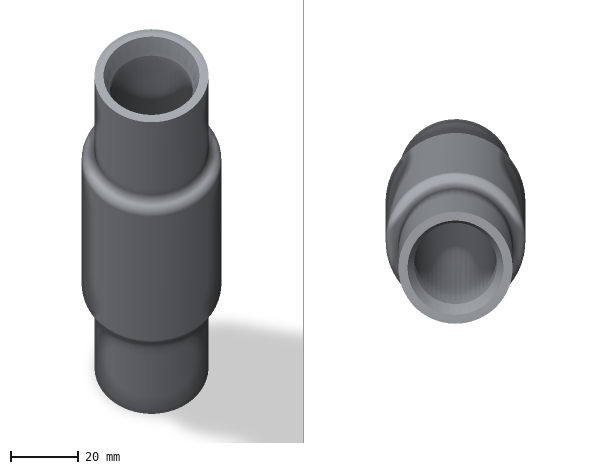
import cadquery as cq
import math

length = 150.0
body_diameter = 41.5
end_diameter = 33.9
bore_diameter = 24.6

end_length = 37.2
shoulder_length = 5.8

mouth_diameter = 28.5
mouth_depth = 7.0

half_length = length / 2
body_radius = body_diameter / 2
end_radius = end_diameter / 2
bore_radius = bore_diameter / 2
mouth_radius = mouth_diameter / 2
taper_z = half_length - mouth_depth
neck_z = half_length - end_length
body_z = neck_z - shoulder_length

shoulder_step = body_radius - end_radius
middle_radius = (body_radius + end_radius) / 2
middle_z = (neck_z + body_z) / 2
arc_radius = (shoulder_length**2 + shoulder_step**2) / (4 * shoulder_step)
half_sweep = math.asin(shoulder_length / (2 * arc_radius)) / 2
arc_mid_offset = arc_radius * (1 - math.cos(half_sweep))
arc_mid_drop = arc_radius * math.sin(half_sweep)
concave_mid_radius = end_radius + arc_mid_offset
concave_mid_z = neck_z - arc_mid_drop
convex_mid_radius = body_radius - arc_mid_offset
convex_mid_z = body_z + arc_mid_drop


def revolve_about_z(outline):
    """Turn a closed (radius, z) outline a full circle around the Z axis."""
    return outline.close().revolve(360, (0, 0, 0), (0, 1, 0))


def turned_body():
    """Solid wide body with a narrower tube end above and below."""
    outline = (
        cq.Workplane("XZ")
        .moveTo(0, half_length)
        .lineTo(end_radius, half_length)
        .lineTo(end_radius, neck_z)
        .threePointArc((concave_mid_radius, concave_mid_z), (middle_radius, middle_z))
        .threePointArc((convex_mid_radius, convex_mid_z), (body_radius, body_z))
        .lineTo(body_radius, -body_z)
        .threePointArc((convex_mid_radius, -convex_mid_z), (middle_radius, -middle_z))
        .threePointArc((concave_mid_radius, -concave_mid_z), (end_radius, -neck_z))
        .lineTo(end_radius, -half_length)
        .lineTo(0, -half_length)
    )
    return revolve_about_z(outline)


def bore():
    """Through bore that widens in a taper at each end."""
    outline = (
        cq.Workplane("XZ")
        .moveTo(0, half_length)
        .lineTo(mouth_radius, half_length)
        .lineTo(bore_radius, taper_z)
        .lineTo(bore_radius, -taper_z)
        .lineTo(mouth_radius, -half_length)
        .lineTo(0, -half_length)
    )
    return revolve_about_z(outline)


result = turned_body().cut(bore())